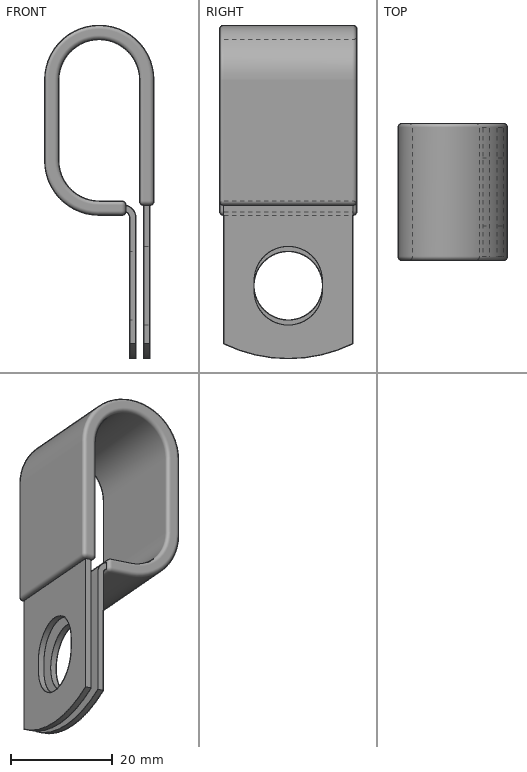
import cadquery as cq
import math

total_height = 65.5
loop_width = 21.5
strap_width = 25.4
strap_thickness = 1.25
cushion_cover = 0.8
lower_arc_z = 38.9
cushion_back_end_z = 30.1
cushion_front_end_x = 5.25
front_leg_outer_x = 7.2
leg_bend_inner_radius = 1.25
hole_diameter = 13.4
hole_z = 14.35
back_slot_stretch = 2.0
tip_sagitta = 2.95

cushion_thickness = strap_thickness + 2 * cushion_cover
cushion_width = strap_width + 2 * cushion_cover
loop_radius = loop_width / 2
upper_arc_z = total_height - loop_radius
mid_radius = loop_radius - cushion_thickness / 2
bottom_run_z = lower_arc_z - mid_radius
leg_bend_radius = leg_bend_inner_radius + strap_thickness / 2
front_leg_x = front_leg_outer_x - strap_thickness / 2
leg_bend_x = front_leg_x - leg_bend_radius
leg_bend_z = bottom_run_z - leg_bend_radius
diagonal = math.sqrt(0.5)


def loop_profile(thickness, back_end_z, front_end_x):
    """Closed loop section of the given thickness, centred on the strap's middle line."""
    outer = mid_radius + thickness / 2
    inner = mid_radius - thickness / 2
    return (
        cq.Workplane("XZ")
        .moveTo(outer, back_end_z)
        .lineTo(outer, upper_arc_z)
        .threePointArc((0, upper_arc_z + outer), (-outer, upper_arc_z))
        .lineTo(-outer, lower_arc_z)
        .threePointArc((-outer * diagonal, lower_arc_z - outer * diagonal), (0, lower_arc_z - outer))
        .lineTo(front_end_x, lower_arc_z - outer)
        .lineTo(front_end_x, lower_arc_z - inner)
        .lineTo(0, lower_arc_z - inner)
        .threePointArc((-inner * diagonal, lower_arc_z - inner * diagonal), (-inner, lower_arc_z))
        .lineTo(-inner, upper_arc_z)
        .threePointArc((0, upper_arc_z + inner), (inner, upper_arc_z))
        .lineTo(inner, back_end_z)
        .close()
    )


def make_cushion():
    """Cushion wrapped around the loop, rounded along its sides and both ends."""
    profile = loop_profile(cushion_thickness, cushion_back_end_z, cushion_front_end_x)
    sharp = profile.extrude(cushion_width / 2, both=True)
    side_edges = sharp.faces("<Y or >Y").edges()
    end_edges = sharp.edges(
        cq.selectors.BoxSelector(
            (mid_radius - cushion_thickness, -cushion_width, cushion_back_end_z - cushion_cover),
            (mid_radius + cushion_thickness, cushion_width, cushion_back_end_z + cushion_cover),
        )
    )
    front_end_edges = sharp.edges(
        cq.selectors.BoxSelector(
            (cushion_front_end_x - cushion_cover, -cushion_width, bottom_run_z - cushion_thickness),
            (cushion_front_end_x + cushion_cover, cushion_width, bottom_run_z + cushion_thickness),
        )
    )
    return side_edges.add(end_edges).add(front_end_edges).fillet(cushion_cover)


def make_front_leg():
    """Quarter bend out of the bottom run, continuing as a straight leg."""
    outer = leg_bend_radius + strap_thickness / 2
    inner = leg_bend_inner_radius
    return (
        cq.Workplane("XZ")
        .moveTo(leg_bend_x, leg_bend_z + outer)
        .threePointArc(
            (leg_bend_x + outer * diagonal, leg_bend_z + outer * diagonal),
            (leg_bend_x + outer, leg_bend_z),
        )
        .lineTo(leg_bend_x + outer, 0)
        .lineTo(leg_bend_x + inner, 0)
        .lineTo(leg_bend_x + inner, leg_bend_z)
        .threePointArc(
            (leg_bend_x + inner * diagonal, leg_bend_z + inner * diagonal),
            (leg_bend_x, leg_bend_z + inner),
        )
        .close()
        .extrude(strap_width / 2, both=True)
    )


def make_strap():
    """Metal strap with curved leg tips, a round front bolt hole and a slotted back one."""
    loop = loop_profile(strap_thickness, 0, leg_bend_x).extrude(strap_width / 2, both=True)
    half_width = strap_width / 2
    envelope = (
        cq.Workplane("YZ")
        .moveTo(-half_width, tip_sagitta)
        .threePointArc((0, 0), (half_width, tip_sagitta))
        .lineTo(half_width, total_height)
        .lineTo(-half_width, total_height)
        .close()
        .extrude(loop_width, both=True)
    )
    bolt_hole = (
        cq.Workplane("YZ")
        .center(0, hole_z)
        .circle(hole_diameter / 2)
        .extrude(loop_width, both=True)
    )
    back_slot = (
        cq.Workplane("YZ", origin=(mid_radius - strap_thickness, 0, hole_z))
        .slot2D(hole_diameter + back_slot_stretch, hole_diameter, 90)
        .extrude(2 * strap_thickness)
    )
    return loop.union(make_front_leg()).intersect(envelope).cut(bolt_hole).cut(back_slot)


result = make_cushion().union(make_strap())